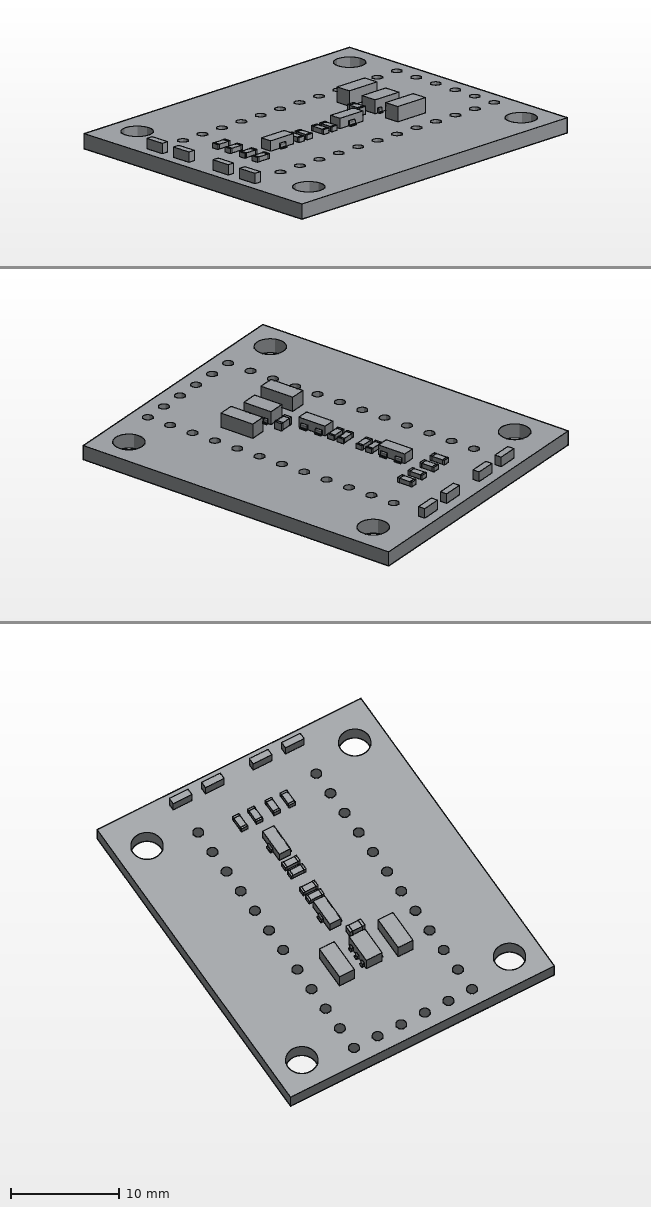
import cadquery as cq

BOARD_WIDTH = 28.4
BOARD_LENGTH = 34.7
BOARD_THICKNESS = 1.5

MOUNT_DIAMETER = 3.0
MOUNT_X = 11.17
MOUNT_TOP_Y = 14.33
MOUNT_BOTTOM_Y = -13.43

PIN_DIAMETER = 1.0
PINS_PER_COLUMN = 12
PINS_PER_ROW = 6
PIN_COLUMN_SPAN = 27.95
PIN_PITCH = PIN_COLUMN_SPAN / (PINS_PER_COLUMN - 1)
PIN_TOP_Y = 15.65
PIN_COLUMN_X = (PINS_PER_ROW - 1) * PIN_PITCH / 2

CAPACITOR_SIZE = (1.6, 3.6, 1.5)
CAPACITOR_X = 3.15
CAPACITOR_Y = 7.25

LED_SIZE = (2.0, 0.7, 1.0)
LED_XS = (-6.05, -2.57, 2.57, 6.05)
LED_Y = -15.95

SMALL_CHIP_SIZE = (1.6, 0.7, 0.5)
SMALL_TERMINAL = 0.2
LARGE_CHIP_SIZE = (1.6, 0.8, 0.75)
LARGE_TERMINAL = 0.28
TERMINAL_STEP = 0.017
LARGE_CHIP_PLACE = (-0.5, 4.5)
COLUMN_CHIP_X = 0.87
COLUMN_CHIP_YS = (-0.52, -1.6, -3.75, -4.82)
ROW_CHIP_XS = (-2.57, -0.95, 0.95, 2.57)
ROW_CHIP_Y = -11.07

REGULATOR_SIZE = (1.7, 3.1, 1.35)
REGULATOR_PLACE = (0, 7.15)
REGULATOR_LEAD_WIDTH = 0.4
REGULATOR_LEAD_PITCH = 1.0

TRANSISTOR_SIZE = (1.2, 3.0, 1.0)
TRANSISTOR_X = 0.95
TRANSISTOR_YS = (1.8, -7.25)
TRANSISTOR_LEAD_WIDTH = 0.73
TRANSISTOR_LEAD_OFFSET = 0.85

LEAD_REACH = 0.28
LEAD_HEIGHT = 0.5
LEAD_SHOULDER = 0.15
LEAD_BEND_RADIUS = 0.1
LEAD_FOOT_THICKNESS = 0.1

SEAT_DEPTH = 0.17


def block(size, place):
    """Rectangular block rising from the board's top face, centred at place."""
    length, width, height = size
    return (
        cq.Workplane("XY", origin=(*place, -SEAT_DEPTH))
        .rect(length, width)
        .extrude(height + SEAT_DEPTH)
    )


def chip(size, terminal, place, along_y=False):
    """Chip whose two end terminals are slightly larger than its body."""
    length, width, height = size
    body_size = (length - terminal, width - 2 * TERMINAL_STEP, height - TERMINAL_STEP)
    solid = block(body_size, (0, 0))
    for side in (-1, 1):
        terminal_x = side * (length - terminal) / 2
        solid = solid.union(block((terminal, width, height), (terminal_x, 0)))
    if along_y:
        solid = solid.rotate((0, 0, 0), (0, 0, 1), 90)
    return solid.translate((*place, 0))


def lead(width, side, face_x, y):
    """Lead with a rounded shoulder and a flat foot, leaving a package side face."""
    profile = (
        cq.Workplane("XZ", origin=(0, width / 2, 0))
        .moveTo(-SEAT_DEPTH, -SEAT_DEPTH)
        .lineTo(LEAD_REACH, -SEAT_DEPTH)
        .lineTo(LEAD_REACH, LEAD_FOOT_THICKNESS)
        .lineTo(LEAD_SHOULDER, LEAD_FOOT_THICKNESS)
        .lineTo(LEAD_SHOULDER, LEAD_HEIGHT - LEAD_BEND_RADIUS)
        .radiusArc((LEAD_SHOULDER - LEAD_BEND_RADIUS, LEAD_HEIGHT), -LEAD_BEND_RADIUS)
        .lineTo(-SEAT_DEPTH, LEAD_HEIGHT)
        .close()
    )
    solid = profile.extrude(width)
    if side < 0:
        solid = solid.mirror("YZ")
    return solid.translate((side * face_x, y, 0))


def package(size, lead_width, left_ys, right_ys, place):
    """Block package with leads at the given offsets along its two long sides."""
    solid = block(size, (0, 0))
    for side, lead_ys in ((-1, left_ys), (1, right_ys)):
        for y in lead_ys:
            solid = solid.union(lead(lead_width, side, size[0] / 2, y))
    return solid.translate((*place, 0))


def regulator():
    pitch = REGULATOR_LEAD_PITCH
    return package(
        REGULATOR_SIZE, REGULATOR_LEAD_WIDTH, (-pitch, pitch), (-pitch, 0, pitch), REGULATOR_PLACE
    )


def transistor(y):
    offset = TRANSISTOR_LEAD_OFFSET
    return package(
        TRANSISTOR_SIZE, TRANSISTOR_LEAD_WIDTH, (-offset, offset), (0,), (TRANSISTOR_X, y)
    )


def pin_places():
    """Header hole centres, each listed once."""
    places = []
    for i in range(PINS_PER_COLUMN):
        for side in (-1, 1):
            places.append((side * PIN_COLUMN_X, PIN_TOP_Y - i * PIN_PITCH))
    for i in range(1, PINS_PER_ROW - 1):
        places.append((-PIN_COLUMN_X + i * PIN_PITCH, PIN_TOP_Y))
    return places


def board():
    mount_places = [(x, y) for x in (-MOUNT_X, MOUNT_X) for y in (MOUNT_BOTTOM_Y, MOUNT_TOP_Y)]
    return (
        cq.Workplane("XY", origin=(0, 0, -BOARD_THICKNESS))
        .rect(BOARD_WIDTH, BOARD_LENGTH)
        .extrude(BOARD_THICKNESS)
        .faces(">Z")
        .workplane(origin=(0, 0, 0))
        .pushPoints(mount_places)
        .hole(MOUNT_DIAMETER)
        .pushPoints(pin_places())
        .hole(PIN_DIAMETER)
    )


def components():
    parts = [regulator(), chip(LARGE_CHIP_SIZE, LARGE_TERMINAL, LARGE_CHIP_PLACE)]
    for side in (-1, 1):
        parts.append(block(CAPACITOR_SIZE, (side * CAPACITOR_X, CAPACITOR_Y)))
    for y in TRANSISTOR_YS:
        parts.append(transistor(y))
    for y in COLUMN_CHIP_YS:
        parts.append(chip(SMALL_CHIP_SIZE, SMALL_TERMINAL, (COLUMN_CHIP_X, y)))
    for x in ROW_CHIP_XS:
        parts.append(chip(SMALL_CHIP_SIZE, SMALL_TERMINAL, (x, ROW_CHIP_Y), along_y=True))
    for x in LED_XS:
        parts.append(block(LED_SIZE, (x, LED_Y)))
    return parts


result = board()
for component in components():
    result = result.union(component)